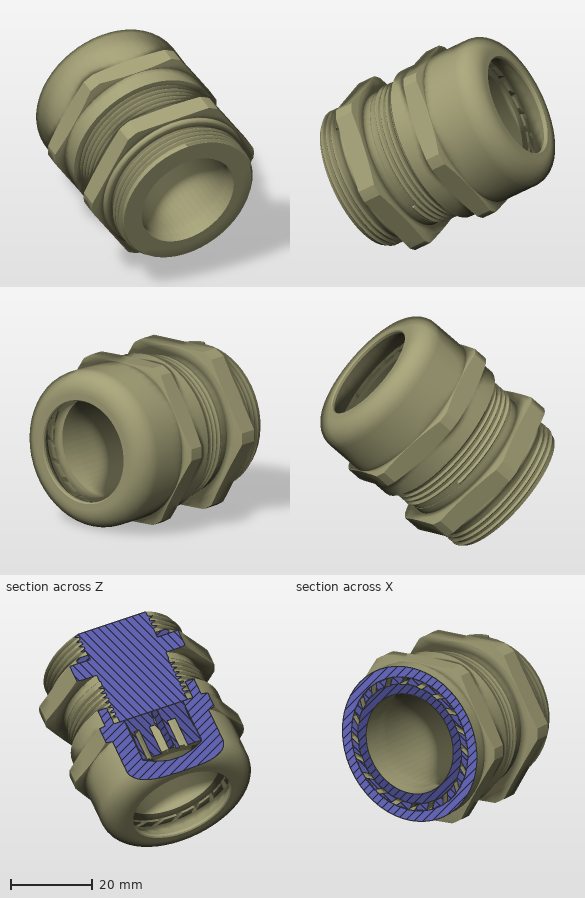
import cadquery as cq
import math


TOTAL_LENGTH = 46.85
HEX_SIDES = 6
HEX_FLATS = 40.0
HEX_CORNERS = 44.6
HEX_FACE_DIAMETER = 39.8
BORE_DIAMETER = 25.45

CAP_DIAMETER = 39.65
CAP_LENGTH = 24.2
CAP_FILLET = 5.0
CAP_HEX_START = 14.4
CAP_HEX_LENGTH = 5.0
CAP_HEX_CHAMFER_ANGLE = 15.0
LIP_DIAMETER = 25.6
LIP_MOUTH_DIAMETER = 26.15
LIP_MOUTH_DEPTH = 0.3
LIP_LENGTH = 0.95
THREAD_CLEARANCE = 0.05

CAGE_FRONT = 6.65
CAGE_DIAMETER = 34.0
FINGER_COUNT = 20
FINGER_GAP = 1.2
FINGER_GAP_SKEW = 40.0
FIRST_GAP_ANGLE = 13.5
FINGER_LENGTH = 8.45
SEAL_FRONT = 7.25
SEAL_DIAMETER = 30.35

BODY_FRONT = 19.2
FRONT_ROOT_DIAMETER = 35.25
COLLAR_START = 31.9
COLLAR_DIAMETER = 35.45
BODY_HEX_START = 33.85
BODY_HEX_LENGTH = 5.0
BODY_HEX_END = BODY_HEX_START + BODY_HEX_LENGTH
BODY_HEX_CHAMFER_ANGLE = 10.0
REAR_ROOT_DIAMETER = 35.25

THREAD_CREST_DIAMETER = 36.65
THREAD_PITCH = 1.5
THREAD_BASE_WIDTH = 0.95
THREAD_CREST_WIDTH = 0.1
THREAD_ROOT_OVERLAP = 0.2
FRONT_THREAD_END = 31.0
FRONT_THREAD_TURNS = 7.0
FRONT_START_ANGLE = 0.0
REAR_THREAD_END = 46.4
REAR_THREAD_TURNS = 3.25
REAR_START_ANGLE = 90.0

RING_DIAMETER = 39.0
RING_WIDTH = 1.4
RING_CROWN = 0.55
RING_ROUNDING = 0.9


def cylinder(diameter, start, end):
    """Cylinder along X from X = start to X = end."""
    return cq.Workplane("YZ", origin=(start, 0, 0)).circle(diameter / 2).extrude(end - start)


def revolve_about_x(profile):
    """Turn an outline of radius along X about the X axis."""
    return profile.close().revolve(360, (0, 0, 0), (1, 0, 0))


def chamfered_hexagon(start, length, chamfer_angle, chamfer_rear):
    """Hexagon along X whose corners are turned down and whose faces are coned off."""
    corner_radius = HEX_CORNERS / 2
    face_radius = HEX_FACE_DIAMETER / 2
    chamfer = (corner_radius - face_radius) * math.tan(math.radians(chamfer_angle))
    end = start + length
    envelope = cq.Workplane("XY").moveTo(start, 0).lineTo(start, face_radius)
    envelope = envelope.lineTo(start + chamfer, corner_radius)
    if chamfer_rear:
        envelope = envelope.lineTo(end - chamfer, corner_radius).lineTo(end, face_radius)
    else:
        envelope = envelope.lineTo(end, corner_radius)
    envelope = revolve_about_x(envelope.lineTo(end, 0))
    sharp_corners = HEX_FLATS / math.cos(math.pi / HEX_SIDES)
    hexagon = cq.Workplane("YZ", origin=(start, 0, 0)).polygon(HEX_SIDES, sharp_corners).extrude(length)
    return hexagon.intersect(envelope)


def thread_ridge(root_diameter, end, turns, start_angle):
    """Helical ridge ending at X = end; start_angle runs from -Z towards +Y."""
    root_radius = root_diameter / 2
    inner_radius = root_radius - THREAD_ROOT_OVERLAP
    crest_radius = THREAD_CREST_DIAMETER / 2
    flank_slope = (THREAD_BASE_WIDTH - THREAD_CREST_WIDTH) / 2 / (crest_radius - root_radius)
    crest_half = THREAD_CREST_WIDTH / 2
    inner_half = THREAD_BASE_WIDTH / 2 + flank_slope * THREAD_ROOT_OVERLAP
    length = turns * THREAD_PITCH
    helix = cq.Wire.makeHelix(THREAD_PITCH, length, root_radius)
    section = cq.Workplane("XZ").polyline([
        (inner_radius, -inner_half),
        (crest_radius, -crest_half),
        (crest_radius, crest_half),
        (inner_radius, inner_half),
    ]).close()
    ridge = section.sweep(cq.Workplane(helix), isFrenet=True)
    ridge = ridge.rotate((0, 0, 0), (0, 0, 1), start_angle)
    ridge = ridge.rotate((0, 0, 0), (0, 1, 0), 90)
    return ridge.translate((end - length, 0, 0))


def make_cap_nut():
    """Domed cap nut with a clamping cavity and a bore for the body thread."""
    shell = cylinder(CAP_DIAMETER, 0, CAP_LENGTH).faces("<X").edges().fillet(CAP_FILLET)
    shell = shell.union(chamfered_hexagon(CAP_HEX_START, CAP_HEX_LENGTH, CAP_HEX_CHAMFER_ANGLE, True))
    thread_bore = THREAD_CREST_DIAMETER / 2 + THREAD_CLEARANCE
    cavity = revolve_about_x(
        cq.Workplane("XY")
        .moveTo(0, 0)
        .lineTo(0, LIP_MOUTH_DIAMETER / 2)
        .lineTo(LIP_MOUTH_DEPTH, LIP_DIAMETER / 2)
        .lineTo(LIP_LENGTH, LIP_DIAMETER / 2)
        .lineTo(CAGE_FRONT, CAGE_DIAMETER / 2)
        .lineTo(BODY_FRONT, CAGE_DIAMETER / 2)
        .lineTo(BODY_FRONT, thread_bore)
        .lineTo(CAP_LENGTH, thread_bore)
        .lineTo(CAP_LENGTH, 0)
    )
    return shell.cut(cavity)


def make_cage():
    """Sleeve whose front is cut by skewed slots into a circle of clamping fingers."""
    cage = cylinder(CAGE_DIAMETER, CAGE_FRONT, BODY_FRONT)
    cage = cage.cut(cylinder(SEAL_DIAMETER, CAGE_FRONT, BODY_FRONT))
    finger_pitch = 360 / FINGER_COUNT
    middle_radius = (CAGE_DIAMETER + SEAL_DIAMETER) / 4
    slot_depth = CAGE_DIAMETER - SEAL_DIAMETER
    slot = cq.Workplane("XY").box(FINGER_LENGTH, slot_depth, FINGER_GAP, centered=(False, True, True))
    slot = slot.rotate((0, 0, 0), (1, 0, 0), FINGER_GAP_SKEW)
    slot = slot.translate((CAGE_FRONT, middle_radius, 0))
    for index in range(FINGER_COUNT):
        cage = cage.cut(slot.rotate((0, 0, 0), (1, 0, 0), FIRST_GAP_ANGLE + index * finger_pitch))
    return cage


def make_seal():
    """Plain rubber sleeve inside the cage."""
    sleeve = cylinder(SEAL_DIAMETER, SEAL_FRONT, BODY_FRONT)
    return sleeve.cut(cylinder(BORE_DIAMETER, SEAL_FRONT, BODY_FRONT))


def make_body():
    """Hollow body with a hexagon between two external threads."""
    body = cylinder(FRONT_ROOT_DIAMETER, BODY_FRONT, COLLAR_START)
    body = body.union(cylinder(COLLAR_DIAMETER, COLLAR_START, BODY_HEX_START))
    body = body.union(chamfered_hexagon(BODY_HEX_START, BODY_HEX_LENGTH, BODY_HEX_CHAMFER_ANGLE, False))
    body = body.union(cylinder(REAR_ROOT_DIAMETER, BODY_HEX_END, TOTAL_LENGTH))
    body = body.cut(cylinder(BORE_DIAMETER, BODY_FRONT, TOTAL_LENGTH))
    front_ridge = thread_ridge(FRONT_ROOT_DIAMETER, FRONT_THREAD_END, FRONT_THREAD_TURNS, FRONT_START_ANGLE)
    rear_ridge = thread_ridge(REAR_ROOT_DIAMETER, REAR_THREAD_END, REAR_THREAD_TURNS, REAR_START_ANGLE)
    rear_ridge = rear_ridge.intersect(cylinder(HEX_CORNERS, BODY_HEX_END, TOTAL_LENGTH))
    return body.union(front_ridge).union(rear_ridge)


def make_sealing_ring():
    """Ring with a rounded rim, seated against the rear of the body hexagon."""
    start = BODY_HEX_END
    end = start + RING_WIDTH
    inner_radius = REAR_ROOT_DIAMETER / 2
    rounding_centre = RING_DIAMETER / 2 - RING_ROUNDING
    front_edge = rounding_centre + math.sqrt(RING_ROUNDING**2 - RING_CROWN**2)
    rear_edge = rounding_centre + math.sqrt(RING_ROUNDING**2 - (RING_WIDTH - RING_CROWN) ** 2)
    return revolve_about_x(
        cq.Workplane("XY")
        .moveTo(start, inner_radius)
        .lineTo(start, front_edge)
        .threePointArc((start + RING_CROWN, RING_DIAMETER / 2), (end, rear_edge))
        .lineTo(end, inner_radius)
    )


cap_nut = make_cap_nut()
cage = make_cage()
seal = make_seal()
body = make_body()
sealing_ring = make_sealing_ring()

result = cq.Compound.makeCompound([
    cap_nut.val(),
    cage.val(),
    seal.val(),
    body.val(),
    sealing_ring.val(),
])